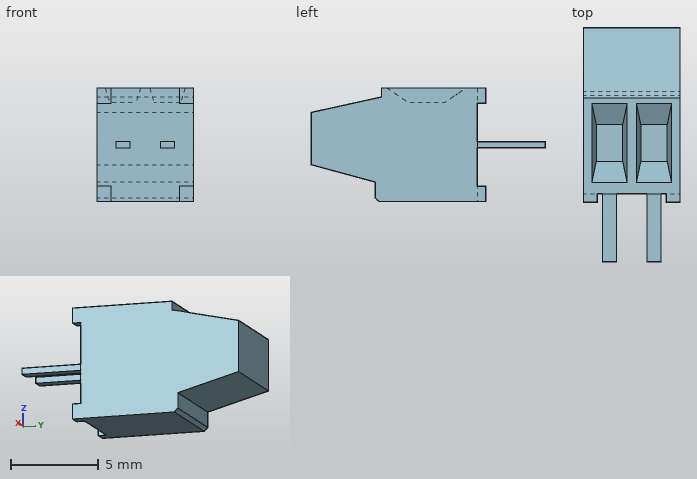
import cadquery as cq

width = 5.53
length = 13.4
height = 6.5

foot_front = 3.4
body_front = 3.89
top_back = 9.38
base_back = 9.74
upper_step = 5.99
nose_top = 5.1
nose_bottom = 2.1
lower_step = 1.11
base_chamfer = 0.21

foot_width = 0.8
foot_height = 0.88

pole_pitch = 2.55
pole_positions = (-pole_pitch / 2, pole_pitch / 2)
pin_width = 0.8
pin_thickness = 0.36
pin_center_z = height / 2
pocket_width = 2.02
pocket_front = 4.54
pocket_back = 9.06
pocket_floor_width = 1.51
pocket_floor_front = 5.75
pocket_floor_back = 7.85
pocket_depth = 0.83


def make_housing():
    """Extrude the stepped, tapered side profile across the full width."""
    profile = [
        (body_front, 0),
        (base_back - base_chamfer, 0),
        (base_back, base_chamfer),
        (base_back, lower_step),
        (length, nose_bottom),
        (length, nose_top),
        (top_back, upper_step),
        (top_back, height),
        (body_front, height),
    ]
    return cq.Workplane("YZ").polyline(profile).close().extrude(width / 2, both=True)


def make_foot(side, base_z):
    """Standoff at one front corner; side is -1 or 1 along X."""
    center_x = side * (width - foot_width) / 2
    return (
        cq.Workplane("XY")
        .box(foot_width, body_front - foot_front, foot_height, centered=(True, False, False))
        .translate((center_x, foot_front, base_z))
    )


def make_pin(center_x):
    """Flat pin running from its tip to the front face."""
    return (
        cq.Workplane("XY")
        .box(pin_width, body_front, pin_thickness, centered=(True, False, True))
        .translate((center_x, 0, pin_center_z))
    )


def make_pocket(center_x):
    """Tapered rectangular cavity sunk from the top face."""
    opening_y = (pocket_front + pocket_back) / 2
    floor_y = (pocket_floor_front + pocket_floor_back) / 2
    return (
        cq.Workplane("XY", origin=(center_x, opening_y, height))
        .rect(pocket_width, pocket_back - pocket_front)
        .workplane(offset=-pocket_depth)
        .center(0, floor_y - opening_y)
        .rect(pocket_floor_width, pocket_floor_back - pocket_floor_front)
        .loft(ruled=True)
    )


result = make_housing()
for side in (-1, 1):
    for base_z in (0, height - foot_height):
        result = result.union(make_foot(side, base_z))
for center_x in pole_positions:
    result = result.union(make_pin(center_x))
    result = result.cut(make_pocket(center_x))